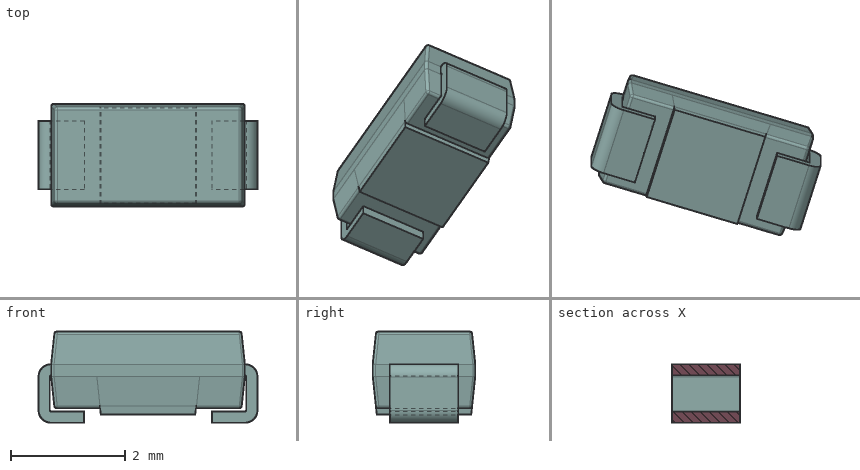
import cadquery as cq
import math

housing_length = 3.4
housing_width = 1.8
housing_top = 1.6
housing_bottom = 0.255
draft_angle = 6.0
edge_radius = 0.05
band_overhang = 0.01

standoff_side = housing_width
standoff_bottom = 0.145

overall_length = 3.84
lead_thickness = 0.2
lead_width = 1.2
lead_top = 1.03
foot_length = 0.58

band_top = lead_top
lead_underside = lead_top - lead_thickness
band_bottom = lead_underside - band_overhang

outer_bend_radius = (overall_length - housing_length) / 2
inner_bend_radius = outer_bend_radius - lead_thickness


def tapered_block(length, width, start_height, end_height):
    """Rectangular block that narrows by the draft angle from start_height to end_height."""
    return (
        cq.Workplane("XY", origin=(0, 0, start_height))
        .rect(length, width)
        .extrude(end_height - start_height, taper=draft_angle)
    )


def make_housing():
    """Molded housing with rounded edges and a sharp-edged standoff underneath."""
    band = cq.Workplane("XY", origin=(0, 0, band_bottom)).rect(housing_length, housing_width)
    band = band.extrude(band_top - band_bottom)
    upper = tapered_block(housing_length, housing_width, band_top, housing_top)
    lower = tapered_block(housing_length, housing_width, band_bottom, housing_bottom)
    shell = band.union(upper).union(lower)
    shell = shell.edges("not(|X or |Y)").fillet(edge_radius)
    shell = shell.faces(">Z or <Z").edges().fillet(edge_radius)
    standoff = tapered_block(standoff_side, standoff_side, band_bottom, standoff_bottom)
    return shell.union(standoff, clean=False)


def make_lead(side):
    """C-shaped lead at the housing end given by side: -1 for -X, +1 for +X."""
    diagonal = math.sqrt(0.5)
    bend_x = housing_length / 2
    outer_x = bend_x + outer_bend_radius
    inner_x = bend_x + inner_bend_radius
    foot_x = bend_x - foot_length
    upper_bend_z = lead_top - outer_bend_radius
    lower_bend_z = outer_bend_radius
    outer_mid = outer_bend_radius * diagonal
    inner_mid = inner_bend_radius * diagonal
    lead = (
        cq.Workplane("XZ", origin=(0, lead_width / 2, 0))
        .moveTo(bend_x, lead_top)
        .threePointArc((bend_x + outer_mid, upper_bend_z + outer_mid), (outer_x, upper_bend_z))
        .lineTo(outer_x, lower_bend_z)
        .threePointArc((bend_x + outer_mid, lower_bend_z - outer_mid), (bend_x, 0))
        .lineTo(foot_x, 0)
        .lineTo(foot_x, lead_thickness)
        .lineTo(bend_x, lead_thickness)
        .threePointArc((bend_x + inner_mid, lower_bend_z - inner_mid), (inner_x, lower_bend_z))
        .lineTo(inner_x, upper_bend_z)
        .threePointArc((bend_x + inner_mid, upper_bend_z + inner_mid), (bend_x, lead_underside))
        .close()
        .extrude(lead_width)
    )
    return lead if side > 0 else lead.mirror("YZ")


housing = make_housing()
leads = [make_lead(side) for side in (-1, 1)]

result = cq.Compound.makeCompound([housing.val(), *[lead.val() for lead in leads]])